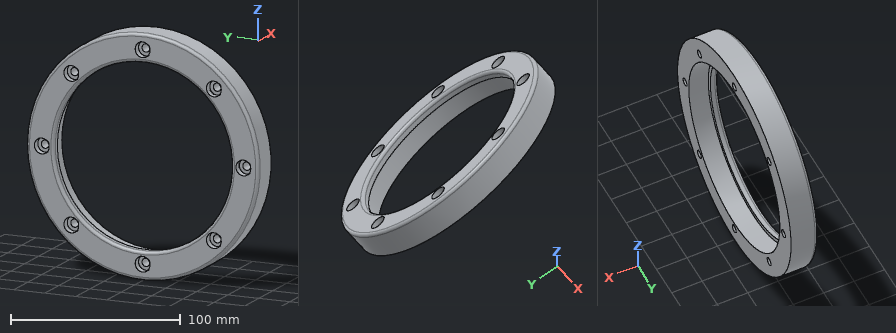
import cadquery as cq

outer_diameter = 150.0
width = 17.8
edge_radius = 2.0

lip_diameter = 114.45
lip_thickness = 5.0
seat_diameter = 119.98

screw_count = 8
screw_circle_diameter = 130.0
screw_hole_diameter = 4.98
counterbore_diameter = 9.53
counterbore_depth = 4.8

front_x = -width / 2


def cylinder_from_front(diameter, start_depth, length):
    """Cylinder on the ring axis, starting at a depth behind the front face."""
    plane = cq.Workplane("YZ", origin=(front_x + start_depth, 0, 0))
    return plane.circle(diameter / 2).extrude(length)


def ring_body():
    """Ring with a lip and both front edges rounded."""
    outside = cylinder_from_front(outer_diameter, 0, width)
    lip_bore = cylinder_from_front(lip_diameter, 0, width)
    seat = cylinder_from_front(seat_diameter, lip_thickness, width - lip_thickness)
    ring = outside.cut(lip_bore).cut(seat)
    return ring.faces("<X").edges().fillet(edge_radius)


def screw_cylinders(diameter, depth):
    """Cylinders at every screw position, from the front face to a depth."""
    plane = cq.Workplane("YZ", origin=(front_x, 0, 0))
    positions = plane.polarArray(screw_circle_diameter / 2, 0, 360, screw_count)
    return positions.circle(diameter / 2).extrude(depth)


screw_holes = screw_cylinders(screw_hole_diameter, width)
counterbores = screw_cylinders(counterbore_diameter, counterbore_depth)
result = ring_body().cut(screw_holes).cut(counterbores)